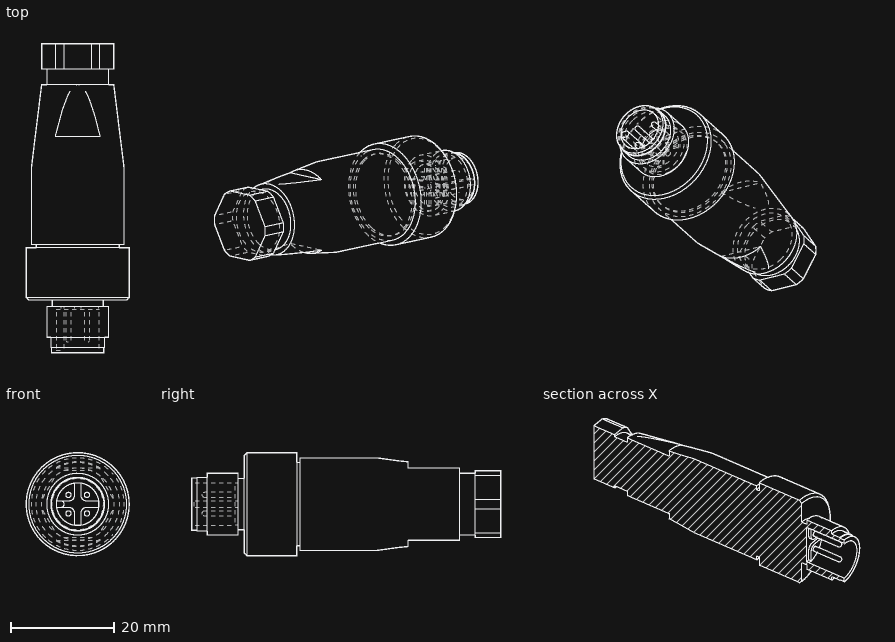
import cadquery as cq
import math


LIP_END = 1.0
SEAT_END = 3.0
SLEEVE_END = 9.0
RING_FRONT = 10.2
RING_REAR = 20.4
BODY_FRONT = 21.0
TAPER_START = 36.0
FLAT_START = 42.0
TAPER_END = 52.0
NUT_FRONT = 55.0
TOTAL_LENGTH = 60.0

LIP_RADIUS = 5.1
SEAT_RADIUS = 5.2
SLEEVE_RADIUS = 6.0
PLUG_NECK_RADIUS = 5.0
RING_RADIUS = 10.0
GROOVE_RADIUS = 8.1
BODY_RADIUS = 9.0
TAPER_END_RADIUS = 7.0
NUT_NECK_RADIUS = 6.0
NUT_CORNER_RADIUS = 7.0
NUT_ACROSS_FLATS = 12.95

RING_CHAMFER = 0.55

SOCKET_RADIUS = 4.15
SOCKET_DEPTH = 8.4
CROSS_WIDTH = 1.25
CROSS_SPAN = 8.15
CROSS_DEPTH = 0.6
CROSS_CORNER_RADIUS = 1.1
PIN_RADIUS = 0.51
PIN_OFFSET = 1.8
PIN_TIP_SETBACK = 2.05
KEY_INNER_REACH = 2.65
KEY_SETBACK = 0.5


def frontal(station):
    """Sketch plane across the axis, with local x = X, local y = -Z and normal +Y."""
    return cq.Workplane(cq.Plane(origin=(0, station, 0), xDir=(1, 0, 0), normal=(0, 1, 0)))


def disc(radius, start, end):
    """Cylinder on the connector axis between two stations."""
    return frontal(start).circle(radius).extrude(end - start)


def turned_body():
    """All round sections of the housing, revolved from one half profile."""
    profile = [
        (0, 0),
        (LIP_RADIUS, 0),
        (LIP_RADIUS, LIP_END),
        (SEAT_RADIUS, LIP_END),
        (SEAT_RADIUS, SEAT_END),
        (SLEEVE_RADIUS, SEAT_END),
        (SLEEVE_RADIUS, SLEEVE_END),
        (PLUG_NECK_RADIUS, SLEEVE_END),
        (PLUG_NECK_RADIUS, RING_FRONT),
        (RING_RADIUS - RING_CHAMFER, RING_FRONT),
        (RING_RADIUS, RING_FRONT + RING_CHAMFER),
        (RING_RADIUS, RING_REAR),
        (GROOVE_RADIUS, RING_REAR),
        (GROOVE_RADIUS, BODY_FRONT),
        (BODY_RADIUS, BODY_FRONT),
        (BODY_RADIUS, TAPER_START),
        (TAPER_END_RADIUS, TAPER_END),
        (NUT_NECK_RADIUS, TAPER_END),
        (NUT_NECK_RADIUS, NUT_FRONT),
        (0, NUT_FRONT),
    ]
    return cq.Workplane("XY").polyline(profile).close().revolve(360, (0, 0, 0), (0, 1, 0))


def cable_nut():
    """Hexagonal nut, flats facing +Z and -Z, with its corners turned round."""
    length = TOTAL_LENGTH - NUT_FRONT
    across_corners = NUT_ACROSS_FLATS / math.cos(math.pi / 6)
    hexagon = frontal(NUT_FRONT).polygon(6, across_corners).extrude(length)
    return hexagon.intersect(disc(NUT_CORNER_RADIUS, NUT_FRONT, TOTAL_LENGTH))


def taper_flat(side):
    """Material above (side = 1) or below (side = -1) the flat on the tapered grip."""
    length = TAPER_END - FLAT_START
    height = BODY_RADIUS - TAPER_END_RADIUS
    return cq.Workplane("XY").box(2 * BODY_RADIUS, length, height).translate(
        (0, FLAT_START + length / 2, side * (TAPER_END_RADIUS + height / 2))
    )


def floor_cross():
    """Cross-shaped recess in the socket floor, its inner corners rounded."""
    floor = frontal(SOCKET_DEPTH)
    cross = floor.rect(CROSS_SPAN, CROSS_WIDTH).extrude(CROSS_DEPTH)
    cross = cross.union(floor.rect(CROSS_WIDTH, CROSS_SPAN).extrude(CROSS_DEPTH))
    reach = CROSS_WIDTH
    inner_corners = cq.selectors.BoxSelector(
        (-reach, SOCKET_DEPTH, -reach), (reach, SOCKET_DEPTH + CROSS_DEPTH, reach)
    )
    return cross.edges("|Y").edges(inner_corners).fillet(CROSS_CORNER_RADIUS)


def contact_pin(x, z):
    """Contact rising from the socket floor, with a domed tip."""
    shoulder = PIN_TIP_SETBACK + PIN_RADIUS
    shank = frontal(shoulder).center(x, -z).circle(PIN_RADIUS).extrude(SOCKET_DEPTH - shoulder)
    dome = cq.Workplane("XY").sphere(PIN_RADIUS).translate((x, shoulder, z))
    return shank.union(dome)


def coding_key():
    """Round-nosed rib along the -X wall of the socket."""
    nose_radius = CROSS_WIDTH / 2
    length = SOCKET_DEPTH + CROSS_DEPTH - KEY_SETBACK
    nose_x = -KEY_INNER_REACH - nose_radius
    root_x = -(SOCKET_RADIUS + LIP_RADIUS) / 2
    return (
        frontal(KEY_SETBACK)
        .moveTo(root_x, -nose_radius)
        .lineTo(nose_x, -nose_radius)
        .threePointArc((-KEY_INNER_REACH, 0), (nose_x, nose_radius))
        .lineTo(root_x, nose_radius)
        .close()
        .extrude(length)
    )


result = turned_body().union(cable_nut())
for side in (1, -1):
    result = result.cut(taper_flat(side))

result = result.cut(disc(SOCKET_RADIUS, 0, SOCKET_DEPTH))
result = result.cut(floor_cross())
result = result.union(coding_key())
for x_side in (1, -1):
    for z_side in (1, -1):
        result = result.union(contact_pin(x_side * PIN_OFFSET, z_side * PIN_OFFSET))